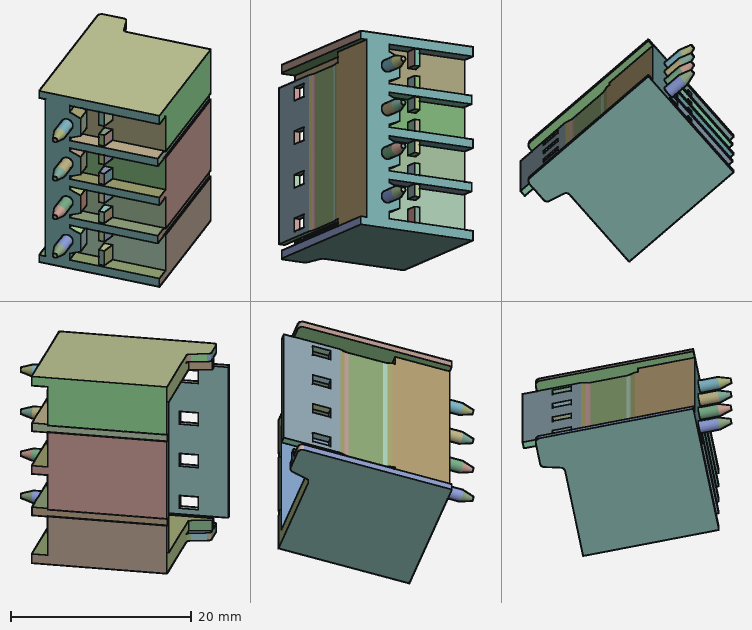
import cadquery as cq

WIDTH = 14.4
LENGTH = 23.1
HEIGHT = 22.2
MID_Z = HEIGHT / 2

POLES = 4
PIN_ROW_SPAN = 15.0
PITCH = PIN_ROW_SPAN / (POLES - 1)
PIN_X = 3.35
PIN_DIAMETER = 1.4
PIN_TIP_DIAMETER = 0.55
PIN_TAPER_LENGTH = 1.39
PIN_ROOT_DEPTH = 4.62
pin_heights = [MID_Z + (i - (POLES - 1) / 2) * PITCH for i in range(POLES)]

FRONT_Y = 3.6
BACK_Y = 18.99
CREST_Y = 21.55
CREST_WIDTH = 3.3
CREST_FOOT_WIDTH = 3.93
CREST_FILLET = 0.53
PLATE_THICKNESS = 0.92

WALL_X = 0.75
WALL_THICKNESS = 0.75
WALL_END_INSET = 2.15
SLOT_Y = 10.03
wall_height = HEIGHT - 2 * WALL_END_INSET

GROOVE_START_Y = 10.35
GROOVE_END_Y = 16.45
GROOVE_DEPTH = 0.196
GROOVE_RAMP = 0.76
GROOVE_FILLET = 1.99

WINDOW_Y = 17.58
WINDOW_LENGTH = 2.13
WINDOW_HEIGHT = 1.5

INNER_END_WALL_X = 1.9
INNER_CREST_INSET = 0.75
SOCKET_RIGHT_WALL = 1.0

CELL_X = 3.65
CELL_DEPTH = 1.82
CELL_END_WALL = 1.1
DIVIDER_THICKNESS = 1.0
TOOTH_LENGTH = 1.32
TOOTH_TIP_HEIGHT = 2.26
TOOTH_ROOT_HEIGHT = 3.35

RIB_X = 7.05
RIB_FRONT_WIDTH = 0.65
RIB_BASE_WIDTH = 1.02
RIB_RECESS = 0.3
RIB_GAP = 1.18

NOTCH_DEPTH = 0.18
NOTCH_HEIGHT = 0.8


def box(x0, x1, y0, y1, z0, z1):
    """Axis-aligned block between two opposite corners."""
    return cq.Workplane("XY").box(x1 - x0, y1 - y0, z1 - z0, centered=False).translate((x0, y0, z0))


def end_wall(left_x, crest_x, foot_x, bottom, top):
    """Wall between two heights, with a raised crest on its left part."""
    outline = [
        (left_x, FRONT_Y),
        (WIDTH, FRONT_Y),
        (WIDTH, BACK_Y),
        (foot_x, BACK_Y),
        (crest_x, CREST_Y),
        (left_x, CREST_Y),
    ]
    return cq.Workplane("XY", (0, 0, bottom)).polyline(outline).close().extrude(top - bottom)


def fillet_upright_edge(part, x, y, z, radius):
    """Round the edge parallel to Z that passes nearest to a point."""
    nearest = cq.selectors.NearestToPointSelector((x, y, z))
    return part.edges("|Z").edges(nearest).fillet(radius)


def both_ends(part):
    """The part together with its mirror image about mid height."""
    return part.union(part.mirror("XY", (0, 0, MID_Z)))


def plates():
    """The two outer end plates with rounded crests."""
    plate = end_wall(0, CREST_WIDTH, CREST_FOOT_WIDTH, 0, PLATE_THICKNESS)
    corners = ((CREST_FOOT_WIDTH, BACK_Y), (CREST_WIDTH, CREST_Y), (0, CREST_Y))
    for x, y in corners:
        plate = fillet_upright_edge(plate, x, y, PLATE_THICKNESS / 2, CREST_FILLET)
    return both_ends(plate)


def inner_end_walls():
    """Thickening of the end walls, set back from the plates behind the latch wall."""
    crest_x = CREST_WIDTH - INNER_CREST_INSET
    foot_x = CREST_FOOT_WIDTH - INNER_CREST_INSET
    return both_ends(end_wall(INNER_END_WALL_X, crest_x, foot_x, PLATE_THICKNESS, WALL_END_INSET))


def base():
    """Solid front part, plus the right wall of the socket."""
    front = box(WALL_X, WIDTH, FRONT_Y, SLOT_Y, PLATE_THICKNESS, HEIGHT - PLATE_THICKNESS)
    right = box(WIDTH - SOCKET_RIGHT_WALL, WIDTH, SLOT_Y, BACK_Y, PLATE_THICKNESS, HEIGHT - PLATE_THICKNESS)
    return front.union(right)


def latch_wall():
    """Upright wall with a shallow outer groove and one window per pin."""
    inner_x = WALL_X + WALL_THICKNESS
    floor_x = WALL_X + GROOVE_DEPTH
    floor_ends = (GROOVE_START_Y + GROOVE_RAMP, GROOVE_END_Y - GROOVE_RAMP)
    outline = [
        (inner_x, SLOT_Y),
        (WALL_X, SLOT_Y),
        (WALL_X, GROOVE_START_Y),
        (floor_x, floor_ends[0]),
        (floor_x, floor_ends[1]),
        (WALL_X, GROOVE_END_Y),
        (WALL_X, LENGTH),
        (inner_x, LENGTH),
    ]
    wall = cq.Workplane("XY", (0, 0, WALL_END_INSET)).polyline(outline).close().extrude(wall_height)
    for y in floor_ends:
        wall = fillet_upright_edge(wall, floor_x, y, MID_Z, GROOVE_FILLET)
    for z in pin_heights:
        wall = wall.cut(box(WALL_X, inner_x, WINDOW_Y, WINDOW_Y + WINDOW_LENGTH,
                            z - WINDOW_HEIGHT / 2, z + WINDOW_HEIGHT / 2))
    return wall


def tooth(z):
    """Trapezoid that stands into a cell beside the pin at height z."""
    outline = [
        (CELL_X, z - TOOTH_ROOT_HEIGHT / 2),
        (CELL_X + TOOTH_LENGTH, z - TOOTH_TIP_HEIGHT / 2),
        (CELL_X + TOOTH_LENGTH, z + TOOTH_TIP_HEIGHT / 2),
        (CELL_X, z + TOOTH_ROOT_HEIGHT / 2),
    ]
    return cq.Workplane("XZ", (0, FRONT_Y, 0)).polyline(outline).close().extrude(-CELL_DEPTH)


def ribs(bottom, top, z):
    """Ribs from the cell's lower and upper wall, tapering towards the front."""
    front_y = FRONT_Y + RIB_RECESS
    floor_y = FRONT_Y + CELL_DEPTH
    outline = [
        (RIB_X, front_y),
        (RIB_X + RIB_FRONT_WIDTH, front_y),
        (RIB_X + RIB_BASE_WIDTH, floor_y),
        (RIB_X, floor_y),
    ]
    bar = cq.Workplane("XY", (0, 0, bottom)).polyline(outline).close().extrude(top - bottom)
    return bar.cut(box(RIB_X, RIB_X + RIB_BASE_WIDTH, front_y, floor_y, z - RIB_GAP / 2, z + RIB_GAP / 2))


def cells():
    """Space to remove from the front face: one cell per pin."""
    space = cq.Workplane("XY")
    for i, z in enumerate(pin_heights):
        bottom = CELL_END_WALL if i == 0 else z - (PITCH - DIVIDER_THICKNESS) / 2
        top = HEIGHT - CELL_END_WALL if i == POLES - 1 else z + (PITCH - DIVIDER_THICKNESS) / 2
        cell = box(CELL_X, WIDTH, FRONT_Y, FRONT_Y + CELL_DEPTH, bottom, top)
        space = space.add(cell.cut(tooth(z)).cut(ribs(bottom, top, z)))
    return space.combine()


def notches():
    """Coding notches along the right side, beside the two outer dividers."""
    space = cq.Workplane("XY")
    for side in (-1, 1):
        z = MID_Z + side * PITCH
        left_x = WIDTH - NOTCH_DEPTH
        groove = box(left_x, WIDTH, FRONT_Y, BACK_Y, z - NOTCH_HEIGHT / 2, z + NOTCH_HEIGHT / 2)
        divider_end = box(left_x, WIDTH, FRONT_Y, FRONT_Y + CELL_DEPTH,
                          z - DIVIDER_THICKNESS / 2, z + DIVIDER_THICKNESS / 2)
        space = space.add(groove.union(divider_end))
    return space.combine()


def pin(z):
    """Round pin along Y with a conical tip, rooted in the body."""
    outline = [
        (0, 0),
        (PIN_TIP_DIAMETER / 2, 0),
        (PIN_DIAMETER / 2, PIN_TAPER_LENGTH),
        (PIN_DIAMETER / 2, FRONT_Y + PIN_ROOT_DEPTH),
        (0, FRONT_Y + PIN_ROOT_DEPTH),
    ]
    profile = cq.Workplane("XY").polyline(outline).close()
    return profile.revolve(360, (0, 0, 0), (0, 1, 0)).translate((PIN_X, 0, z))


result = base().union(plates()).union(inner_end_walls()).union(latch_wall())
result = result.cut(cells()).cut(notches())
for pin_z in pin_heights:
    result = result.union(pin(pin_z))